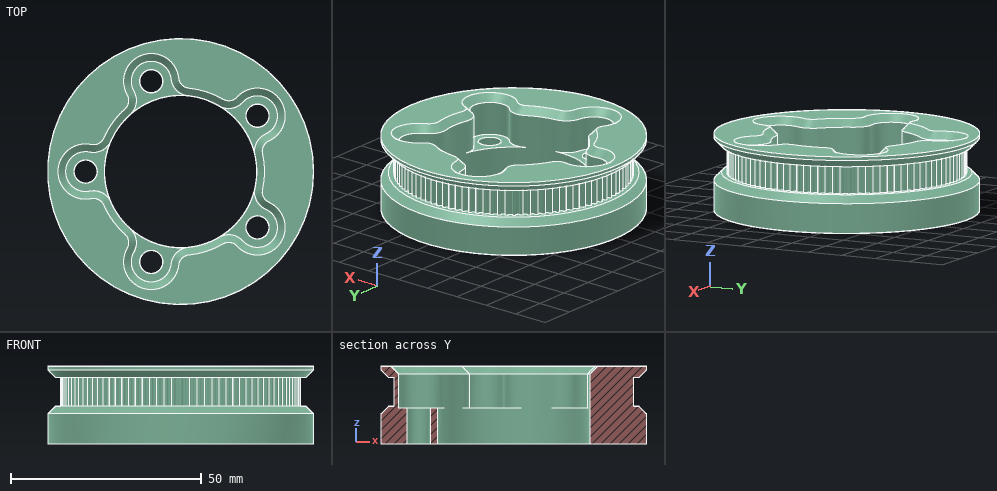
import cadquery as cq
import math

OUTER_DIAMETER = 70.0
BASE_HEIGHT = 8.0
FLANGE_BEVEL = 2.0
BELT_WIDTH = 7.5
RIM_HEIGHT = 1.0
GROOVE_BOTTOM = BASE_HEIGHT + FLANGE_BEVEL
GROOVE_TOP = GROOVE_BOTTOM + BELT_WIDTH
TOP_Z = GROOVE_TOP + FLANGE_BEVEL + RIM_HEIGHT

TOOTH_COUNT = 100
TOOTH_TIP_RADIUS = 31.6
TOOTH_GAP_DEPTH = 0.8
TOOTH_GAP_RADIUS = 0.55
TOOTH_ROOT_RADIUS = TOOTH_TIP_RADIUS - TOOTH_GAP_DEPTH
TOOTH_TIP_ROUNDING = TOOTH_GAP_DEPTH - TOOTH_GAP_RADIUS

BORE_RADIUS = 20.0
BOLT_COUNT = 5
BOLT_STEP = 360 / BOLT_COUNT
BOLT_CIRCLE_RADIUS = 25.0
BOLT_HOLE_DIAMETER = 6.0
LOBE_RADIUS = 5.25
LOBE_BLEND_RADIUS = 5.0
POCKET_DEPTH = 11.0
POCKET_CHAMFER = 2.0
FIRST_BOLT_ANGLE = 36.0


def polar(radius, angle):
    """Point at the given radius and angle in degrees."""
    return (radius * math.cos(math.radians(angle)), radius * math.sin(math.radians(angle)))


def pulley_body():
    """Spool turned about Z, with a bevelled belt groove down to the bottom of the tooth gaps."""
    rim_radius = OUTER_DIAMETER / 2
    shoulder_radius = rim_radius - FLANGE_BEVEL
    profile = [
        (BORE_RADIUS, 0),
        (rim_radius, 0),
        (rim_radius, BASE_HEIGHT),
        (shoulder_radius, GROOVE_BOTTOM),
        (TOOTH_ROOT_RADIUS, GROOVE_BOTTOM),
        (TOOTH_ROOT_RADIUS, GROOVE_TOP),
        (shoulder_radius, GROOVE_TOP),
        (rim_radius, GROOVE_TOP + FLANGE_BEVEL),
        (rim_radius, TOP_Z),
        (BORE_RADIUS, TOP_Z),
    ]
    return cq.Workplane("XZ").polyline(profile).close().revolve(360, (0, 0, 0), (0, 1, 0))


def belt_teeth():
    """Toothed ring: round-bottomed gaps that run through rounded corners onto narrow tooth tips."""
    pitch_angle = 360 / TOOTH_COUNT
    gap_centre_radius = TOOTH_TIP_RADIUS - TOOTH_TIP_ROUNDING
    corner_offset = TOOTH_GAP_RADIUS + TOOTH_TIP_ROUNDING
    to_corner_middle, _ = polar(TOOTH_TIP_ROUNDING, 45)
    corner_middle_radius = gap_centre_radius + to_corner_middle
    corner_middle_offset = corner_offset - to_corner_middle

    def beside_gap(radius, offset, gap_angle):
        """Point at a radius, shifted sideways along the arc from the middle of a gap."""
        return polar(radius, gap_angle + math.degrees(offset / TOOTH_TIP_RADIUS))

    outline = cq.Workplane("XY", origin=(0, 0, GROOVE_BOTTOM))
    outline = outline.moveTo(*beside_gap(TOOTH_TIP_RADIUS, -corner_offset, pitch_angle / 2))
    for index in range(TOOTH_COUNT):
        gap_angle = (index + 0.5) * pitch_angle
        outline = (
            outline
            .threePointArc(
                beside_gap(corner_middle_radius, -corner_middle_offset, gap_angle),
                beside_gap(gap_centre_radius, -TOOTH_GAP_RADIUS, gap_angle),
            )
            .threePointArc(
                polar(TOOTH_ROOT_RADIUS, gap_angle),
                beside_gap(gap_centre_radius, TOOTH_GAP_RADIUS, gap_angle),
            )
            .threePointArc(
                beside_gap(corner_middle_radius, corner_middle_offset, gap_angle),
                beside_gap(TOOTH_TIP_RADIUS, corner_offset, gap_angle),
            )
            .threePointArc(
                polar(TOOTH_TIP_RADIUS, gap_angle + pitch_angle / 2),
                beside_gap(TOOTH_TIP_RADIUS, -corner_offset, gap_angle + pitch_angle),
            )
        )
    return outline.close().circle(BORE_RADIUS).extrude(BELT_WIDTH)


def bolt_angles():
    return [FIRST_BOLT_ANGLE + index * BOLT_STEP for index in range(BOLT_COUNT)]


def triangle_angle(near_side, other_near_side, far_side):
    """Angle in degrees between the two near sides of a triangle."""
    cosine = (near_side**2 + other_near_side**2 - far_side**2) / (2 * near_side * other_near_side)
    return math.degrees(math.acos(cosine))


def bolt_pocket():
    """Star-shaped pocket: the bore with a lobe around each bolt, blended by tangent arcs."""
    lobe_to_blend = LOBE_RADIUS + LOBE_BLEND_RADIUS
    pulley_to_blend = BORE_RADIUS + LOBE_BLEND_RADIUS
    blend_angle = triangle_angle(BOLT_CIRCLE_RADIUS, pulley_to_blend, lobe_to_blend)
    lobe_half_angle = 180 - triangle_angle(BOLT_CIRCLE_RADIUS, lobe_to_blend, pulley_to_blend)
    blend_sweep = triangle_angle(lobe_to_blend, pulley_to_blend, BOLT_CIRCLE_RADIUS)

    def on_lobe(bolt_angle, turn):
        """Point on the lobe wall, turned from the outward direction about the bolt axis."""
        centre_x, centre_y = polar(BOLT_CIRCLE_RADIUS, bolt_angle)
        offset_x, offset_y = polar(LOBE_RADIUS, bolt_angle + turn)
        return (centre_x + offset_x, centre_y + offset_y)

    def blend_middle(bolt_angle, side):
        """Middle of the blend arc on one side of a lobe: side is 1 or -1."""
        centre_angle = bolt_angle + side * blend_angle
        centre_x, centre_y = polar(pulley_to_blend, centre_angle)
        offset_x, offset_y = polar(LOBE_BLEND_RADIUS, centre_angle + 180 + side * blend_sweep / 2)
        return (centre_x + offset_x, centre_y + offset_y)

    outline = cq.Workplane("XY", origin=(0, 0, TOP_Z - POCKET_DEPTH))
    outline = outline.moveTo(*polar(BORE_RADIUS, FIRST_BOLT_ANGLE - blend_angle))
    for angle in bolt_angles():
        next_lobe_start = angle + BOLT_STEP - blend_angle
        outline = (
            outline
            .threePointArc(blend_middle(angle, -1), on_lobe(angle, -lobe_half_angle))
            .threePointArc(on_lobe(angle, 0), on_lobe(angle, lobe_half_angle))
            .threePointArc(blend_middle(angle, 1), polar(BORE_RADIUS, angle + blend_angle))
            .threePointArc(polar(BORE_RADIUS, angle + BOLT_STEP / 2), polar(BORE_RADIUS, next_lobe_start))
        )
    return outline.close().extrude(POCKET_DEPTH)


def bolt_holes():
    """Plain holes through the full height, one in the middle of each lobe."""
    return (
        cq.Workplane("XY")
        .pushPoints([polar(BOLT_CIRCLE_RADIUS, angle) for angle in bolt_angles()])
        .circle(BOLT_HOLE_DIAMETER / 2)
        .extrude(TOP_Z)
    )


pulley = pulley_body().union(belt_teeth()).cut(bolt_holes()).cut(bolt_pocket())
pocket_rim = pulley.faces(">Z").val().innerWires()[0]
result = pulley.newObject(pocket_rim.Edges()).chamfer(POCKET_CHAMFER)